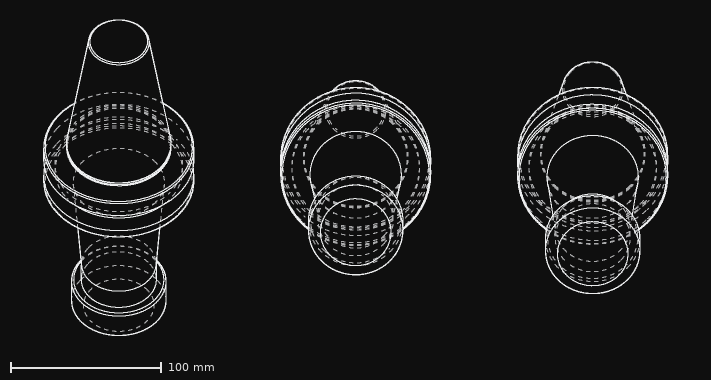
import cadquery as cq
import math


gauge_diameter = 69.85
taper_ratio = 7 / 24
shank_length = 101.8
shank_tip_chamfer = 0.9
relief_depth = 0.6
relief_top_z = -1.0
relief_base_flare = 0.5

flange_diameter = 100.0
flange_top_z = -3.0
flange_bottom_z = -38.0
flange_chamfer = 1.0
groove_floor_diameter = 85.0
groove_center_z = -23.3
groove_mouth_width = 15.0
groove_wall_angle = 30.0

collar_diameter = 60.8
collar_bottom_z = -39.6
neck_top_diameter = 60.3
neck_top_z = -40.5
neck_bottom_z = -117.9
undercut_depth = 0.2
undercut_z = -118.7
stem_top_z = -120.2
stem_diameter = 50.0

nut_diameter = 63.0
nut_top_z = -134.5
nut_bottom_z = -160.0
nut_top_chamfer = 1.5
nut_face_diameter = 47.0
nut_bevel_angle = 30.0


def shank_points():
    """Shank half-profile as (radius, z), from the axis at the tip down to the flange."""
    gauge_radius = gauge_diameter / 2
    tip_radius = gauge_radius - shank_length * taper_ratio / 2
    chamfer_z = shank_length - shank_tip_chamfer
    chamfer_radius = gauge_radius - chamfer_z * taper_ratio / 2
    relief_radius = gauge_radius - relief_depth
    return [
        (0, shank_length),
        (tip_radius - shank_tip_chamfer, shank_length),
        (chamfer_radius, chamfer_z),
        (gauge_radius, 0),
        (relief_radius, relief_top_z),
        (relief_radius, flange_top_z + relief_base_flare),
        (relief_radius + relief_base_flare, flange_top_z),
    ]


def flange_points():
    """Flange half-profile from its top face to its bottom face, including the groove."""
    rim = flange_diameter / 2
    floor = groove_floor_diameter / 2
    wall_height = (rim - floor) * math.tan(math.radians(groove_wall_angle))
    mouth_half = groove_mouth_width / 2
    floor_half = mouth_half - wall_height
    return [
        (rim - flange_chamfer, flange_top_z),
        (rim, flange_top_z - flange_chamfer),
        (rim, groove_center_z + mouth_half),
        (floor, groove_center_z + floor_half),
        (floor, groove_center_z - floor_half),
        (rim, groove_center_z - mouth_half),
        (rim, flange_bottom_z + flange_chamfer),
        (rim - flange_chamfer, flange_bottom_z),
    ]


def neck_points():
    """Short collar, tapered neck, undercut and straight stem, from the flange to the nut."""
    stem_radius = stem_diameter / 2
    return [
        (collar_diameter / 2, flange_bottom_z),
        (collar_diameter / 2, collar_bottom_z),
        (neck_top_diameter / 2, neck_top_z),
        (stem_radius, neck_bottom_z),
        (stem_radius - undercut_depth, undercut_z),
        (stem_radius, stem_top_z),
        (stem_radius, nut_top_z),
    ]


def nut_points():
    """Nut half-profile from its top face down to the axis at the lower end."""
    rim = nut_diameter / 2
    face = nut_face_diameter / 2
    bevel_height = (rim - face) * math.tan(math.radians(nut_bevel_angle))
    return [
        (rim - nut_top_chamfer, nut_top_z),
        (rim, nut_top_z - nut_top_chamfer),
        (rim, nut_bottom_z + bevel_height),
        (face, nut_bottom_z),
        (0, nut_bottom_z),
    ]


half_profile = shank_points() + flange_points() + neck_points() + nut_points()
result = (
    cq.Workplane("XZ")
    .polyline([(-radius, z) for radius, z in half_profile])
    .close()
    .revolve(360, (0, 0), (0, 1))
)